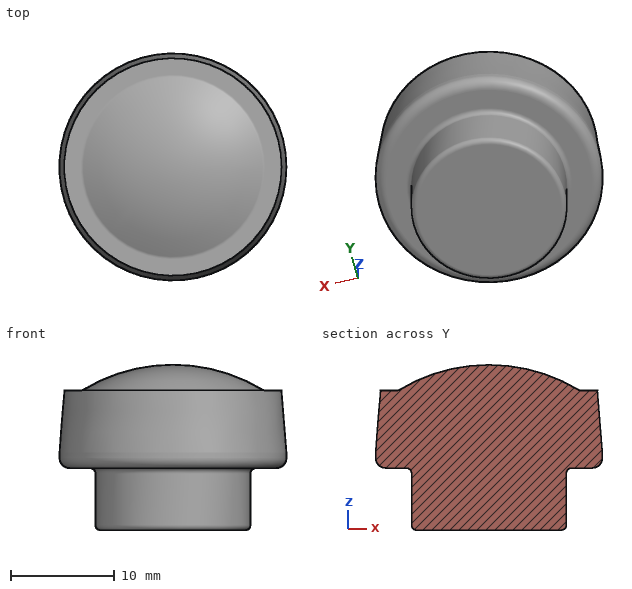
import cadquery as cq
import math

total_height = 16.0
head_radius = 10.98
stem_radius = 15.0 / 2

head_bottom = 6.0
head_edge_radius = 1.0
band_height = 0.5
rim_height = 13.53
rim_radius = 10.5

stem_edge_radius = 0.5
neck_fillet_radius = 0.5

dome_base_radius = 8.76
dome_fillet_radius = 0.5

diagonal = math.sqrt(0.5)
dome_height = total_height - rim_height
sphere_radius = (dome_base_radius**2 + dome_height**2) / (2 * dome_height)
sphere_center_z = total_height - sphere_radius

fillet_center_z = rim_height + dome_fillet_radius
center_distance = sphere_radius + dome_fillet_radius
fillet_center_x = math.sqrt(center_distance**2 - (fillet_center_z - sphere_center_z) ** 2)
dome_edge_angle = math.asin(fillet_center_x / center_distance)


def dome_point(angle):
    """Point of the dome at an angle from the vertical axis."""
    return (
        sphere_radius * math.sin(angle),
        sphere_center_z + sphere_radius * math.cos(angle),
    )


fillet_middle = (
    fillet_center_x - dome_fillet_radius * math.sin(dome_edge_angle / 2),
    fillet_center_z - dome_fillet_radius * math.cos(dome_edge_angle / 2),
)


def rounded_corner(profile, center, radius, x_sign, z_sign, end):
    """Add a quarter arc whose midpoint lies diagonally from its center."""
    middle = (
        center[0] + x_sign * radius * diagonal,
        center[1] + z_sign * radius * diagonal,
    )
    return profile.threePointArc(middle, end)


profile = cq.Workplane("XZ").lineTo(stem_radius - stem_edge_radius, 0)
profile = rounded_corner(
    profile,
    (stem_radius - stem_edge_radius, stem_edge_radius),
    stem_edge_radius, 1, -1,
    (stem_radius, stem_edge_radius),
)
profile = profile.lineTo(stem_radius, head_bottom - neck_fillet_radius)
profile = rounded_corner(
    profile,
    (stem_radius + neck_fillet_radius, head_bottom - neck_fillet_radius),
    neck_fillet_radius, -1, 1,
    (stem_radius + neck_fillet_radius, head_bottom),
)
profile = profile.lineTo(head_radius - head_edge_radius, head_bottom)
band_bottom = head_bottom + head_edge_radius
profile = rounded_corner(
    profile,
    (head_radius - head_edge_radius, band_bottom),
    head_edge_radius, 1, -1,
    (head_radius, band_bottom),
)
profile = (
    profile.lineTo(head_radius, band_bottom + band_height)
    .lineTo(rim_radius, rim_height)
    .lineTo(fillet_center_x, rim_height)
    .threePointArc(fillet_middle, dome_point(dome_edge_angle))
    .threePointArc(dome_point(dome_edge_angle / 2), (0, total_height))
    .close()
)

result = profile.revolve(360, (0, 0, 0), (0, 1, 0))